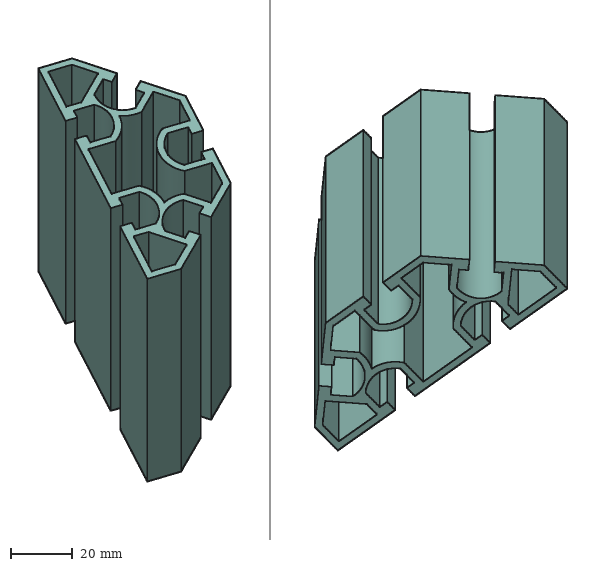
import cadquery as cq
import math

edge = 40.0
height = 40.0
length = 100.0
wall = 2.5

mouth_width = 8.3
lip_depth = 4.1
channel_width = 14.5
channel_wall = 2.5
arc_center_depth = 5.0
channel_radius = 9.5
channel_half_width = channel_width / 2
channel_outer_half_width = channel_half_width + channel_wall
channel_outer_radius = channel_radius + channel_wall

root2 = math.sqrt(2)
half_edge = edge / 2
half_width = half_edge + edge / root2
shoulder_height = height - edge / root2
sloped_face_x = half_edge + edge / root2 / 2
sloped_face_y = height - edge / root2 / 2

slots = [
    (-half_edge, 0, 0),
    (half_edge, 0, 0),
    (0, height, 180),
    (-sloped_face_x, sloped_face_y, -135),
    (sloped_face_x, sloped_face_y, 135),
]


def prism(points):
    return cq.Workplane("XY").polyline(points).close().extrude(length)


def mirrored_prism(right_points):
    """Prism symmetric about X = 0, from its right half listed bottom to top."""
    left_points = [(-x, y) for x, y in reversed(right_points)]
    return prism(right_points + left_points)


def channel(half_width_at_sides, radius, start_depth):
    """Straight-sided channel with an arc floor, opening toward -Y."""
    shoulder = arc_center_depth + math.sqrt(radius**2 - half_width_at_sides**2)
    return (
        cq.Workplane("XY")
        .moveTo(-half_width_at_sides, start_depth)
        .lineTo(half_width_at_sides, start_depth)
        .lineTo(half_width_at_sides, shoulder)
        .threePointArc((0, arc_center_depth + radius), (-half_width_at_sides, shoulder))
        .close()
        .extrude(length)
    )


def place(shape, slot):
    x, y, angle = slot
    return shape.rotate((0, 0, 0), (0, 0, 1), angle).translate((x, y, 0))


def slot_void():
    mouth = cq.Workplane("XY").rect(mouth_width, 2 * lip_depth).extrude(length)
    return mouth.union(channel(channel_half_width, channel_radius, lip_depth))


def central_void():
    """Inside of the profile between the slot walls."""
    inset = wall / root2
    top_corner_x = half_edge + wall - wall * root2
    void = mirrored_prism([
        (half_edge, wall),
        (sloped_face_x - inset, sloped_face_y - inset),
        (top_corner_x, height - wall),
    ])
    for slot in slots:
        void = void.cut(place(channel(channel_outer_half_width, channel_outer_radius, 0), slot))
    return void


def corner_pocket():
    """Five-sided pocket in the right bottom corner."""
    outer_x = half_width - wall
    inner_x = half_edge + channel_outer_half_width
    face_sum = half_edge + height - wall * root2
    slot_difference = sloped_face_x - sloped_face_y + channel_outer_half_width * root2
    return prism([
        (inner_x, wall),
        (outer_x, wall),
        (outer_x, face_sum - outer_x),
        ((face_sum + slot_difference) / 2, (face_sum - slot_difference) / 2),
        (inner_x, inner_x - slot_difference),
    ])


body = mirrored_prism([(half_width, 0), (half_width, shoulder_height), (half_edge, height)])
body = body.cut(central_void())
pocket = corner_pocket()
body = body.cut(pocket).cut(pocket.mirror("YZ"))
for slot in slots:
    body = body.cut(place(slot_void(), slot))

result = body.translate((0, -height / 2, -length / 2))